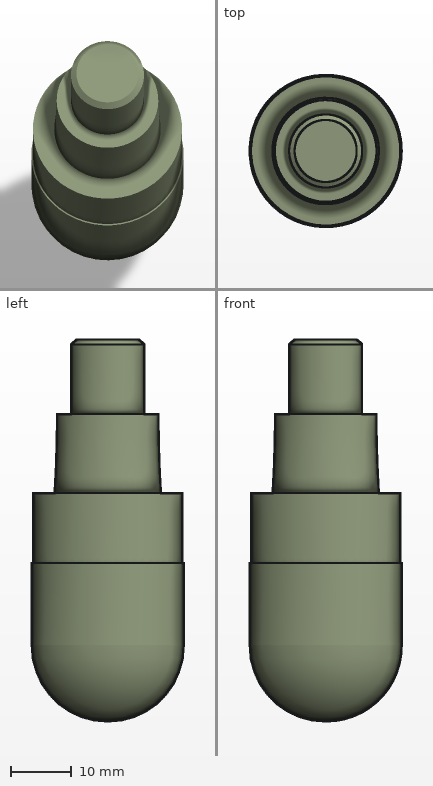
import cadquery as cq

tip_diameter = 25.0
tip_straight_length = 13.5
tip_radius = tip_diameter / 2
tip_length = tip_radius + tip_straight_length

base_diameter = 24.5
base_length = 11.5
neck_bottom_diameter = 17.5
neck_top_diameter = 16.7
neck_length = 13.0
stud_diameter = 12.0
stud_length = 12.25
chamfer_width = 0.9
chamfer_height = 0.8


def make_tip():
    """Cylinder closed at the bottom by a hemisphere, centred on the origin."""
    profile = (
        cq.Workplane("XZ")
        .moveTo(0, -tip_radius)
        .radiusArc((tip_radius, 0), -tip_radius)
        .lineTo(tip_radius, tip_straight_length)
        .lineTo(0, tip_straight_length)
        .close()
    )
    return profile.revolve(360, (0, 0, 0), (0, 1, 0))


def make_shank():
    """Base, flared neck and chamfered stud turned as one piece."""
    base_radius = base_diameter / 2
    stud_radius = stud_diameter / 2
    neck_bottom_radius = neck_bottom_diameter / 2
    neck_top_radius = neck_top_diameter / 2

    base_bottom = tip_straight_length
    base_top = base_bottom + base_length
    neck_top = base_top + neck_length
    stud_top = neck_top + stud_length

    flare = neck_bottom_radius - neck_top_radius
    flare_radius = (neck_length**2 + flare**2) / (2 * flare)

    profile = (
        cq.Workplane("XZ")
        .moveTo(0, base_bottom)
        .lineTo(base_radius, base_bottom)
        .lineTo(base_radius, base_top)
        .lineTo(neck_bottom_radius, base_top)
        .radiusArc((neck_top_radius, neck_top), flare_radius)
        .lineTo(stud_radius, neck_top)
        .lineTo(stud_radius, stud_top - chamfer_height)
        .lineTo(stud_radius - chamfer_width, stud_top)
        .lineTo(0, stud_top)
        .close()
    )
    return profile.revolve(360, (0, 0, 0), (0, 1, 0))


tip = make_tip()
shank = make_shank()
result = cq.Compound.makeCompound([tip.val(), shank.val()])